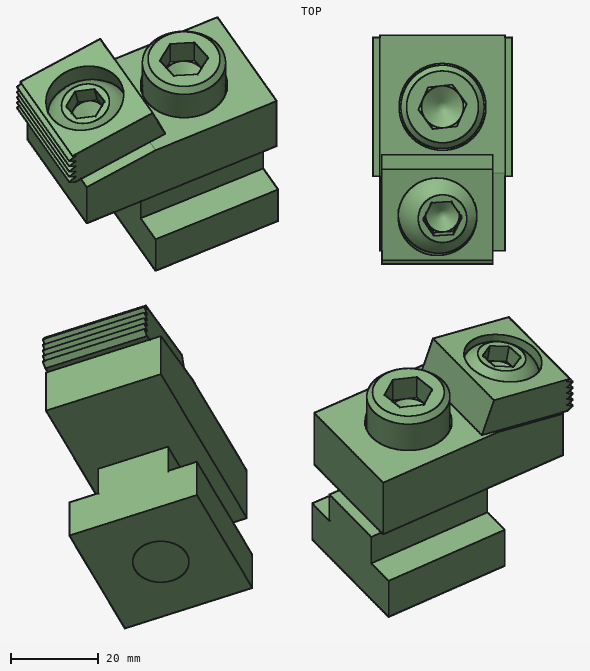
import cadquery as cq
import math

NUT_SIZE = 31.75
NUT_BASE_HEIGHT = 11.1
NUT_HEIGHT = 19.15
NUT_STEM_WIDTH = 17.4

HOLDER_WIDTH = 28.65
HOLDER_BOTTOM = 24.4
HOLDER_TOP = 40.2
HOLDER_BACK = 16.35
HOLDER_FRONT = -32.85
SLOPE_START = -15.05
SLOPE_ANGLE = 10.0
COUNTERBORE_RADIUS = 9.9

BOLT_SHANK_RADIUS = 6.4
BOLT_HEAD_RADIUS = 9.5
BOLT_TOP = 49.2
BOLT_HEAD_HEIGHT = 2 * BOLT_SHANK_RADIUS
BOLT_HEAD_BOTTOM = BOLT_TOP - BOLT_HEAD_HEIGHT
BOLT_CHAMFER = 1.3
BOLT_SOCKET_CORNER_RADIUS = 5.55
BOLT_SOCKET_DEPTH = 6.3
BOLT_SOCKET_TURN = 6.3

JAW_WIDTH = 25.35
JAW_OFFSET = -1.15
JAW_THICKNESS = 9.5
JAW_BACK_OVERHANG = 4.15
JAW_FRONT = HOLDER_BACK - 52.25
JAW_HOLE_RADIUS = 9.0
JAW_HOLE_DISTANCE = 8.5
TOOTH_PITCH = 1.85
TOOTH_DEPTH = 1.6
TOP_GROOVE_HEIGHT = 45.9
GROOVE_COUNT = 6

SCREW_DISTANCE = 9.05
SCREW_HEAD_HEIGHT = 9.1
SCREW_FLAT_RADIUS = 5.55
SCREW_DOME_RADIUS = 11.25
DOME_CENTRE_HEIGHT = SCREW_HEAD_HEIGHT - math.sqrt(SCREW_DOME_RADIUS**2 - SCREW_FLAT_RADIUS**2)
SCREW_HEAD_RADIUS = math.sqrt(SCREW_DOME_RADIUS**2 - DOME_CENTRE_HEIGHT**2)
SCREW_SHANK_RADIUS = 4.95
SCREW_SHANK_LENGTH = 10.45
SCREW_SOCKET_CORNER_RADIUS = 4.45
SCREW_SOCKET_DEPTH = 4.3
SCREW_SOCKET_TURN = 3.8

SOCKET_POINT_ANGLE = 118.0

SLOPE = math.radians(SLOPE_ANGLE)


def slope_point(along, above):
    """(Y, Z) of a point given by its distance down the slope and its height square to it."""
    return (
        SLOPE_START - along * math.cos(SLOPE) - above * math.sin(SLOPE),
        HOLDER_TOP - along * math.sin(SLOPE) + above * math.cos(SLOPE),
    )


def make_socket(corner_radius, depth, top, turn):
    """Hexagon socket with a drill-point floor, opening upwards at height top."""
    hexagon = (
        cq.Workplane("XY")
        .workplane(offset=top - depth)
        .polygon(6, 2 * corner_radius)
        .extrude(depth)
        .rotate((0, 0, 0), (0, 0, 1), turn)
    )
    floor_radius = corner_radius * math.cos(math.radians(30))
    point_depth = floor_radius / math.tan(math.radians(SOCKET_POINT_ANGLE / 2))
    point = cq.Workplane(
        cq.Solid.makeCone(
            floor_radius, 0, point_depth, pnt=cq.Vector(0, 0, top - depth), dir=cq.Vector(0, 0, -1)
        )
    )
    return hexagon.union(point)


def make_bolt():
    """Socket head bolt whose tip is flush with the bottom of the nut."""
    shank = cq.Workplane("XY").circle(BOLT_SHANK_RADIUS).extrude(BOLT_HEAD_BOTTOM)
    head = (
        cq.Workplane("XY")
        .workplane(offset=BOLT_HEAD_BOTTOM)
        .circle(BOLT_HEAD_RADIUS)
        .extrude(BOLT_HEAD_HEIGHT)
        .faces(">Z")
        .chamfer(BOLT_CHAMFER)
    )
    socket = make_socket(BOLT_SOCKET_CORNER_RADIUS, BOLT_SOCKET_DEPTH, BOLT_TOP, BOLT_SOCKET_TURN)
    return shank.union(head).cut(socket)


def place_on_slope(shape, distance):
    """Tilt a shape built along Z and set its origin on the slope."""
    y, z = slope_point(distance, 0)
    return shape.rotate((0, 0, 0), (1, 0, 0), SLOPE_ANGLE).translate((0, y, z))


def make_jaw_hole():
    """Cylinder that fills the round hole through the jaw."""
    cylinder = cq.Workplane("XY").center(JAW_OFFSET, 0).circle(JAW_HOLE_RADIUS).extrude(JAW_THICKNESS)
    return place_on_slope(cylinder, JAW_HOLE_DISTANCE)


def make_screw_shank():
    """Plain shank of the jaw screw, sunk into the holder."""
    shank = cq.Workplane("XY").circle(SCREW_SHANK_RADIUS).extrude(-SCREW_SHANK_LENGTH)
    return place_on_slope(shank, SCREW_DISTANCE)


def make_screw():
    """Jaw screw with a flat-topped dome, trimmed by the off-centre jaw hole."""
    dome = (
        cq.Workplane("XZ")
        .lineTo(SCREW_HEAD_RADIUS, 0)
        .radiusArc((SCREW_FLAT_RADIUS, SCREW_HEAD_HEIGHT), -SCREW_DOME_RADIUS)
        .lineTo(0, SCREW_HEAD_HEIGHT)
        .close()
        .revolve(360, (0, 0), (0, 1))
    )
    socket = make_socket(
        SCREW_SOCKET_CORNER_RADIUS, SCREW_SOCKET_DEPTH, SCREW_HEAD_HEIGHT, SCREW_SOCKET_TURN
    )
    head = place_on_slope(dome.cut(socket), SCREW_DISTANCE).intersect(make_jaw_hole())
    return head.union(make_screw_shank())


def make_nut():
    """T-nut with a through hole filled by the bolt shank."""
    base = cq.Workplane("XY").rect(NUT_SIZE, NUT_SIZE).extrude(NUT_BASE_HEIGHT)
    stem = cq.Workplane("XY").rect(NUT_STEM_WIDTH, NUT_SIZE).extrude(NUT_HEIGHT)
    hole = cq.Workplane("XY").circle(BOLT_SHANK_RADIUS).extrude(NUT_HEIGHT)
    return base.union(stem).cut(hole)


def make_holder():
    """Block with a sloped seat, a counterbored bolt hole and a matching jaw screw hole."""
    front_height = HOLDER_TOP - (SLOPE_START - HOLDER_FRONT) * math.tan(SLOPE)
    block = (
        cq.Workplane("YZ")
        .polyline([
            (HOLDER_BACK, HOLDER_BOTTOM),
            (HOLDER_BACK, HOLDER_TOP),
            (SLOPE_START, HOLDER_TOP),
            (HOLDER_FRONT, front_height),
            (HOLDER_FRONT, HOLDER_BOTTOM),
        ])
        .close()
        .extrude(HOLDER_WIDTH / 2, both=True)
    )
    bolt_hole = cq.Workplane("XY").circle(BOLT_SHANK_RADIUS).extrude(HOLDER_TOP)
    counterbore = (
        cq.Workplane("XY")
        .workplane(offset=BOLT_HEAD_BOTTOM)
        .circle(COUNTERBORE_RADIUS)
        .extrude(HOLDER_TOP - BOLT_HEAD_BOTTOM)
    )
    return block.cut(bolt_hole).cut(counterbore).cut(make_screw_shank())


def make_tooth_groove(height):
    """V groove across the jaw front, with its root at the given height."""
    root = JAW_FRONT + TOOTH_DEPTH
    return (
        cq.Workplane("YZ")
        .polyline([
            (root, height),
            (JAW_FRONT, height + TOOTH_PITCH / 2),
            (JAW_FRONT, height - TOOTH_PITCH / 2),
        ])
        .close()
        .extrude(JAW_WIDTH, both=True)
    )


def make_jaw():
    """Slab with a slanted back, a toothed upright front and a round hole for the screw head."""
    lower_back = slope_point(-JAW_BACK_OVERHANG, 0)
    slant = JAW_THICKNESS * math.tan(SLOPE)
    upper_back = slope_point(slant - JAW_BACK_OVERHANG, JAW_THICKNESS)
    upper_front = upper_back[1] - (upper_back[0] - JAW_FRONT) * math.tan(SLOPE)
    lower_front = lower_back[1] - (lower_back[0] - JAW_FRONT) * math.tan(SLOPE)
    jaw = (
        cq.Workplane("YZ")
        .polyline([lower_back, upper_back, (JAW_FRONT, upper_front), (JAW_FRONT, lower_front)])
        .close()
        .extrude(JAW_WIDTH / 2, both=True)
        .translate((JAW_OFFSET, 0, 0))
    )
    for index in range(GROOVE_COUNT):
        jaw = jaw.cut(make_tooth_groove(TOP_GROOVE_HEIGHT - index * TOOTH_PITCH))
    return jaw.cut(make_jaw_hole())


nut = make_nut()
holder = make_holder()
bolt = make_bolt()
jaw = make_jaw()
screw = make_screw()

result = cq.Compound.makeCompound([
    nut.solids().val(),
    holder.solids().val(),
    bolt.solids().val(),
    jaw.solids().val(),
    screw.solids().val(),
])